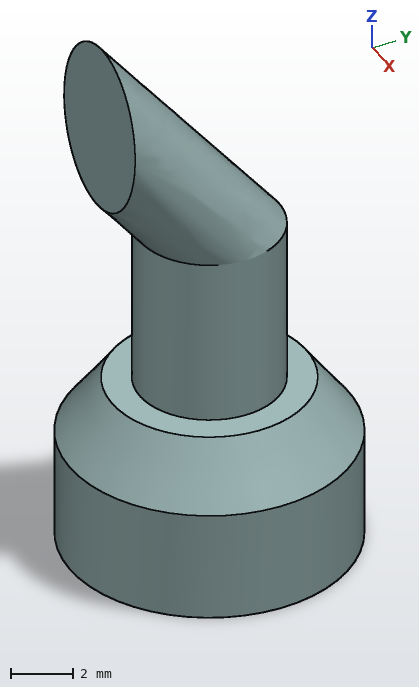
import cadquery as cq

total_height = 19.86
base_radius = 5.0
base_height = 3.95
shoulder_top_radius = 3.5
shoulder_top_z = 6.0
stem_radius = 2.5
stem_top_z = 12.0
tip_top_y = -3.9
tip_bottom_y = -4.07

tip_height = total_height - stem_top_z
tip_slope = (tip_top_y - stem_radius) / tip_height
tip_bottom_z = stem_top_z + (tip_bottom_y + stem_radius) / tip_slope


def make_body():
    """Base, conical shoulder and stem, revolved about Z."""
    return (
        cq.Workplane("XZ")
        .polyline([
            (0, 0),
            (base_radius, 0),
            (base_radius, base_height),
            (shoulder_top_radius, shoulder_top_z),
            (stem_radius, shoulder_top_z),
            (stem_radius, stem_top_z),
            (0, stem_top_z),
        ])
        .close()
        .revolve(360, (0, 0), (0, 1))
    )


def make_tip():
    """Oblique cylinder leaning toward -Y, trimmed by a nearly vertical end face."""
    rim = cq.Wire.makeCircle(stem_radius, cq.Vector(0, 0, stem_top_z), cq.Vector(0, 0, 1))
    lean = cq.Vector(0, tip_slope * tip_height, tip_height)
    leaning = cq.Workplane(obj=cq.Solid.extrudeLinear(rim, [], lean))

    face_slope = (tip_top_y - tip_bottom_y) / (total_height - tip_bottom_z)
    face_foot_y = tip_top_y - face_slope * tip_height
    keep = (
        cq.Workplane("YZ")
        .polyline([
            (stem_radius, stem_top_z),
            (stem_radius, total_height),
            (tip_top_y, total_height),
            (face_foot_y, stem_top_z),
        ])
        .close()
        .extrude(base_radius, both=True)
    )
    return leaning.intersect(keep)


result = make_body().union(make_tip())